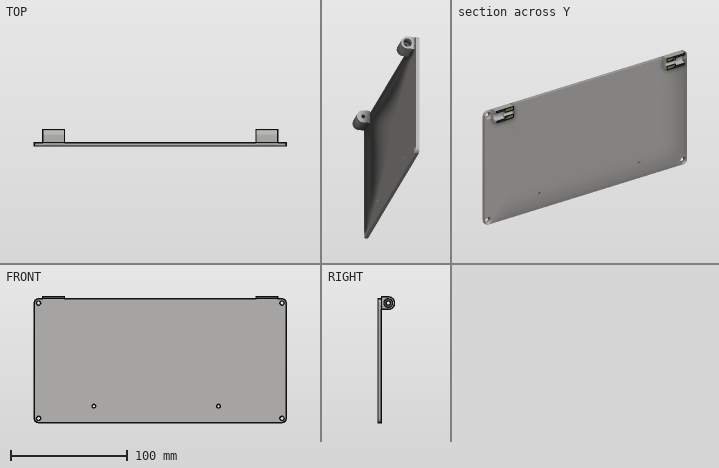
import cadquery as cq

plate_length = 216.5
plate_height = 106.5
plate_thickness = 3.0
corner_radius = 3.75

corner_hole_diameter = 3.5
countersink_diameter = 6.5
countersink_depth = 2.1

mount_hole_diameter = 3.0
mount_hole_spacing = 107.0
mount_hole_offset_x = -3.5
mount_hole_height = 14.25

overall_height = 108.25
overall_depth = 14.5
knuckle_radius = 5.5
knuckle_length = 19.0
knuckle_end_inset = 7.25
pin_hole_diameter = 3.5
counterbore_diameter = 7.5
counterbore_depth = knuckle_length / 2

knuckle_axis_y = overall_depth - knuckle_radius
knuckle_axis_z = overall_height - knuckle_radius
knuckle_center_x = plate_length / 2 - knuckle_end_inset - knuckle_length / 2


def front_hole(x, z, diameter):
    """Cylinder along Y that cuts right through the plate."""
    profile = cq.Workplane("XZ", origin=(x, 0, z)).circle(diameter / 2)
    return profile.extrude(-plate_thickness)


def back_countersink(x, z):
    """Cone that narrows from the back face down to the corner hole diameter."""
    rim = cq.Workplane("XZ", origin=(x, plate_thickness, z)).circle(countersink_diameter / 2)
    return rim.workplane(offset=countersink_depth).circle(corner_hole_diameter / 2).loft()


def make_plate():
    """Rounded plate with its corner holes and mounting holes."""
    plate = (
        cq.Workplane("XY")
        .box(plate_length, plate_thickness, plate_height, centered=(True, False, False))
        .edges("|Y")
        .fillet(corner_radius)
    )
    hole_x = plate_length / 2 - corner_radius
    for x in (-hole_x, hole_x):
        for z in (corner_radius, plate_height - corner_radius):
            plate = plate.cut(front_hole(x, z, corner_hole_diameter))
            plate = plate.cut(back_countersink(x, z))
    for side in (-1, 1):
        x = mount_hole_offset_x + side * mount_hole_spacing / 2
        plate = plate.cut(front_hole(x, mount_hole_height, mount_hole_diameter))
    return plate


def cylinder_on_axis(start_x, length, diameter):
    """Cylinder along +X on the hinge axis."""
    plane = cq.Workplane("YZ", origin=(start_x, knuckle_axis_y, knuckle_axis_z))
    return plane.circle(diameter / 2).extrude(length)


def make_knuckle(side):
    """Hinge knuckle with its counterbore opening toward the plate's outer end."""
    start_x = side * knuckle_center_x - knuckle_length / 2
    barrel = cylinder_on_axis(start_x, knuckle_length, 2 * knuckle_radius)
    web = cq.Workplane("XY").box(
        knuckle_length,
        knuckle_axis_y - plate_thickness,
        2 * knuckle_radius,
        centered=False,
    ).translate((start_x, plate_thickness, knuckle_axis_z - knuckle_radius))
    bore_x = start_x
    if side > 0:
        bore_x = start_x + knuckle_length - counterbore_depth
    pin_hole = cylinder_on_axis(start_x, knuckle_length, pin_hole_diameter)
    counterbore = cylinder_on_axis(bore_x, counterbore_depth, counterbore_diameter)
    return barrel.union(web).cut(pin_hole).cut(counterbore)


result = make_plate()
for knuckle_side in (-1, 1):
    result = result.union(make_knuckle(knuckle_side))